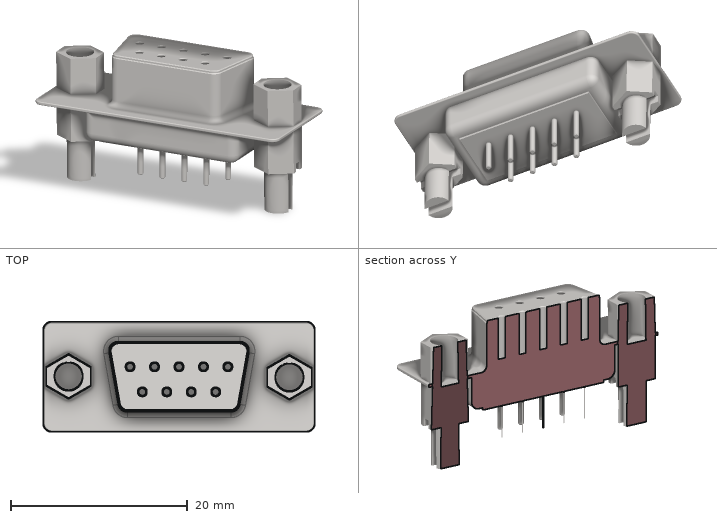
import cadquery as cq
import math


FLANGE_LENGTH = 30.8
FLANGE_WIDTH = 12.5
FLANGE_THICKNESS = 0.4
FLANGE_CORNER_RADIUS = 1.0
FLANGE_EDGE_RADIUS = 0.12

SHELL_TOP = 6.55
SHELL_WIDTH = 7.94
SHELL_NARROW_HALF = 6.73
SHELL_SIDE_ANGLE = 10.0
SHELL_CORNER_RADIUS = 1.05
SHELL_FLARE_RADIUS = 0.64
FACE_STEP_HEIGHT = 0.28
RIM_CHAMFER = 0.1

HOUSING_LENGTH = 19.27
HOUSING_WIDTH = 10.0
HOUSING_DEPTH = 3.97
HOUSING_RADIUS = 1.04
INSERT_LENGTH = 16.3
INSERT_WIDTH = 7.04
INSERT_PROTRUSION = 0.28

CONTACT_PITCH = 2.77
ROW_SPACING = 2.84
ROW_COUNTS = (5, 4)
SOCKET_ROWS_OFFSET = -0.3
SOCKET_DIAMETER = 0.85
SOCKET_DEPTH = 5.0
SOCKET_CHAMFER = 0.1
PIN_DIAMETER = 0.64
PIN_BOTTOM = -8.17
PIN_CHAMFER = 0.1

JACK_X = 12.51
JACK_TILT = 1.0
JACK_TOP_Z = 4.75
JACK_SIDE_Y = {-1: 0.0, 1: -0.11}
HEX_HEIGHT = 10.0
HEX_WIDTH_X = 5.02
HEX_CORNERS_Y = 5.0
HEX_SLOPE = 30.0
BORE_DIAMETER = 3.2
BORE_DEPTH = 5.0
POST_DIAMETER = 3.2
POST_LENGTH = 4.99
SLOT_WIDTH = 1.0
SLOT_DEPTH_IN_HEX = 1.0


def flange():
    """Thin plate with rounded corners and softened rims."""
    plate = cq.Workplane("XY").box(
        FLANGE_LENGTH, FLANGE_WIDTH, FLANGE_THICKNESS, centered=(True, True, False)
    )
    plate = plate.edges("|Z").fillet(FLANGE_CORNER_RADIUS)
    return plate.faces("<Z or >Z").edges().fillet(FLANGE_EDGE_RADIUS)


def d_block(inset, height):
    """D-shaped block with a chamfered top rim; its walls stand inside the shell walls by the inset."""
    half_width = SHELL_WIDTH / 2
    wide_half = SHELL_NARROW_HALF + SHELL_WIDTH * math.tan(math.radians(SHELL_SIDE_ANGLE))
    outline = [
        (-SHELL_NARROW_HALF, -half_width),
        (SHELL_NARROW_HALF, -half_width),
        (wide_half, half_width),
        (-wide_half, half_width),
    ]
    block = cq.Workplane("XY").polyline(outline).close()
    if inset > 0:
        block = block.offset2D(-inset)
    block = block.extrude(height)
    block = block.edges("|Z").fillet(SHELL_CORNER_RADIUS - inset)
    return block.faces(">Z").edges().chamfer(RIM_CHAMFER)


def shell():
    """D-shaped shell with the socket face raised a small step inside its rim."""
    rim = d_block(0, SHELL_TOP - FACE_STEP_HEIGHT)
    return rim.union(d_block(RIM_CHAMFER, SHELL_TOP))


def flared_shell_on_flange():
    """Flange and shell joined by a concave flare around the foot of the shell."""
    joined = flange().union(shell())
    reach = SHELL_FLARE_RADIUS / 4
    foot = cq.selectors.BoxSelector(
        (-FLANGE_LENGTH / 3, -SHELL_WIDTH / 2 - reach, FLANGE_THICKNESS - reach),
        (FLANGE_LENGTH / 3, SHELL_WIDTH / 2 + reach, FLANGE_THICKNESS + reach),
    )
    return joined.edges(foot).fillet(SHELL_FLARE_RADIUS)


def rear_housing():
    """Rounded box under the flange with the insert standing out of its underside."""
    box = cq.Workplane("XY").rect(HOUSING_LENGTH, HOUSING_WIDTH).extrude(-HOUSING_DEPTH)
    box = box.edges("|Z or <Z").fillet(HOUSING_RADIUS)
    insert = cq.Workplane("XY").rect(INSERT_LENGTH, INSERT_WIDTH)
    return box.union(insert.extrude(-(HOUSING_DEPTH + INSERT_PROTRUSION)))


def contact_points(rows_offset):
    """Contact centres of both rows, with the row pair shifted along Y."""
    points = []
    for count, side in zip(ROW_COUNTS, (1, -1)):
        y = rows_offset + side * ROW_SPACING / 2
        for index in range(count):
            x = (index - (count - 1) / 2) * CONTACT_PITCH
            points.append((x, y))
    return points


def pins():
    """Solder pins with chamfered tips, rooted inside the rear housing."""
    column = cq.Workplane("XY").pushPoints(contact_points(0)).circle(PIN_DIAMETER / 2).extrude(PIN_BOTTOM)
    return column.faces("<Z").edges().chamfer(PIN_CHAMFER)


def cut_sockets(body):
    """Blind chamfered contact holes in the socket face."""
    hole_profile = [
        (0, 0),
        (SOCKET_DIAMETER / 2 + SOCKET_CHAMFER, 0),
        (SOCKET_DIAMETER / 2, -SOCKET_CHAMFER),
        (SOCKET_DIAMETER / 2, -SOCKET_DEPTH),
        (0, -SOCKET_DEPTH),
    ]
    hole = cq.Workplane("XZ").polyline(hole_profile).close().revolve(360, (0, 0), (0, 1))
    for x, y in contact_points(SOCKET_ROWS_OFFSET):
        body = body.cut(hole.translate((x, y, SHELL_TOP)))
    return body


def hex_body():
    """Hexagonal prism hanging below its top face at the origin."""
    half_x = HEX_WIDTH_X / 2
    tip_y = HEX_CORNERS_Y / 2
    shoulder_y = tip_y - half_x * math.tan(math.radians(HEX_SLOPE))
    outline = [
        (half_x, shoulder_y),
        (0, tip_y),
        (-half_x, shoulder_y),
        (-half_x, -shoulder_y),
        (0, -tip_y),
        (half_x, -shoulder_y),
    ]
    return cq.Workplane("XY").polyline(outline).close().extrude(-HEX_HEIGHT)


def jackscrew():
    """Upright jackscrew: bored hexagon, round post below and a slot across the lower end."""
    post = cq.Workplane("XY").workplane(offset=-HEX_HEIGHT).circle(POST_DIAMETER / 2).extrude(-POST_LENGTH)
    bore = cq.Workplane("XY").circle(BORE_DIAMETER / 2).extrude(-BORE_DEPTH)
    slot = (
        cq.Workplane("XY")
        .workplane(offset=-(HEX_HEIGHT + POST_LENGTH))
        .rect(HEX_WIDTH_X, SLOT_WIDTH)
        .extrude(POST_LENGTH + SLOT_DEPTH_IN_HEX)
    )
    return hex_body().union(post).cut(bore).cut(slot)


def place_at_jack(body, side):
    """Lean a body towards -Y about its top centre and move it to the given X side."""
    leaning = body.rotate((0, 0, 0), (1, 0, 0), JACK_TILT)
    return leaning.translate((side * JACK_X, JACK_SIDE_Y[side], JACK_TOP_Z))


jackscrews = [place_at_jack(jackscrew(), side) for side in JACK_SIDE_Y]

connector = cut_sockets(flared_shell_on_flange().union(rear_housing()).union(pins()))
for side in JACK_SIDE_Y:
    connector = connector.cut(place_at_jack(hex_body(), side))

result = cq.Compound.makeCompound([connector.val(), *[screw.val() for screw in jackscrews]])